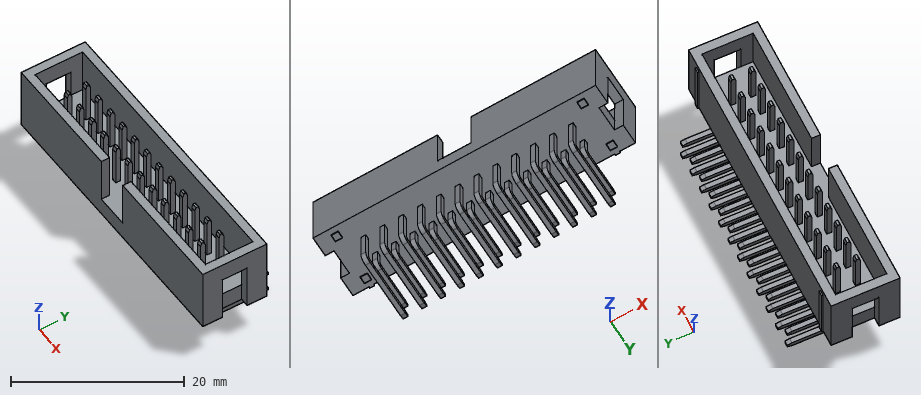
import cadquery as cq

LENGTH = 38.1
DEPTH = 8.8
HEIGHT = 8.75
LONG_WALL = 1.15
END_WALL = 1.2
CAVITY_DEPTH = 6.32
FLOOR_Z = HEIGHT - CAVITY_DEPTH
KEY_WIDTH = 4.5

END_SLOT_WIDTH = 3.4
END_SLOT_TOP_GAP = 2.48
END_SLOT_HEIGHT = HEIGHT - END_SLOT_TOP_GAP

PIN_COUNT = 12
PITCH = 2.54
PIN_SIZE = 0.65
PIN_TOP_GAP = 0.72
PIN_TOP_Z = HEIGHT - PIN_TOP_GAP
OVERALL_DEPTH = 12.1
OVERALL_HEIGHT = 14.0
TAIL_END_Y = OVERALL_DEPTH - DEPTH / 2
LOWEST_Z = HEIGHT - OVERALL_HEIGHT
BEND_OUTER_RADIUS = 1.0
BEND_INNER_RADIUS = BEND_OUTER_RADIUS - PIN_SIZE
TOP_TIP_LENGTH = 0.5
TAIL_TIP_LENGTH = 0.6
TIP_INSET = PIN_SIZE / 4

STANDOFF_X = LENGTH / 2 - 2.48
STANDOFF_Y = 3.2
STANDOFF_SIZE = 0.95
STANDOFF_HEIGHT = 0.2
RIB_WIDTH = 0.7
RIB_HEIGHT = 8.05
RIB_THICKNESS = 0.2


def block(size_x, size_y, size_z, center_x, center_y, bottom_z):
    """Box given by its size, its centre in X and Y and its bottom level."""
    box = cq.Workplane("XY").box(size_x, size_y, size_z, centered=(True, True, False))
    return box.translate((center_x, center_y, bottom_z))


def make_housing():
    housing = block(LENGTH, DEPTH, HEIGHT, 0, 0, 0)
    cavity = block(LENGTH - 2 * END_WALL, DEPTH - 2 * LONG_WALL, CAVITY_DEPTH, 0, 0, FLOOR_Z)
    key_gap = block(KEY_WIDTH, LONG_WALL, CAVITY_DEPTH, 0, (LONG_WALL - DEPTH) / 2, FLOOR_Z)
    housing = housing.cut(cavity).cut(key_gap)
    for side in (-1, 1):
        slot_x = side * (LENGTH - END_WALL) / 2
        housing = housing.cut(block(END_WALL, END_SLOT_WIDTH, END_SLOT_HEIGHT, slot_x, 0, 0))
    return housing


def make_pin(x, y, bottom_z):
    """Right-angle pin whose upright leg stands at (x, y)."""
    front = y - PIN_SIZE / 2
    back = y + PIN_SIZE / 2
    top_z = bottom_z + PIN_SIZE
    outline = (
        cq.Workplane("YZ")
        .moveTo(front + TIP_INSET, PIN_TOP_Z)
        .lineTo(front, PIN_TOP_Z - TOP_TIP_LENGTH)
        .lineTo(front, bottom_z + BEND_OUTER_RADIUS)
        .radiusArc((front + BEND_OUTER_RADIUS, bottom_z), -BEND_OUTER_RADIUS)
        .lineTo(TAIL_END_Y - TAIL_TIP_LENGTH, bottom_z)
        .lineTo(TAIL_END_Y, bottom_z + TIP_INSET)
        .lineTo(TAIL_END_Y, top_z - TIP_INSET)
        .lineTo(TAIL_END_Y - TAIL_TIP_LENGTH, top_z)
        .lineTo(back + BEND_INNER_RADIUS, top_z)
        .radiusArc((back, top_z + BEND_INNER_RADIUS), BEND_INNER_RADIUS)
        .lineTo(back, PIN_TOP_Z - TOP_TIP_LENGTH)
        .lineTo(back - TIP_INSET, PIN_TOP_Z)
        .close()
    )
    return outline.extrude(PIN_SIZE / 2, both=True).translate((x, 0, 0))


def make_standoffs():
    points = [(sx * STANDOFF_X, sy * STANDOFF_Y) for sx in (-1, 1) for sy in (-1, 1)]
    pads = cq.Workplane("XY").pushPoints(points).rect(STANDOFF_SIZE, STANDOFF_SIZE)
    return pads.extrude(-STANDOFF_HEIGHT)


def make_rib(side):
    """Thin upright rib on the back wall, in line with the standoffs on that side."""
    rib_y = (DEPTH + RIB_THICKNESS) / 2
    return block(RIB_WIDTH, RIB_THICKNESS, RIB_HEIGHT, side * STANDOFF_X, rib_y, 0)


result = make_housing().union(make_standoffs())
for side in (-1, 1):
    result = result.union(make_rib(side))

for column in range(PIN_COUNT):
    pin_x = (column - (PIN_COUNT - 1) / 2) * PITCH
    result = result.union(make_pin(pin_x, -PITCH / 2, LOWEST_Z))
    result = result.union(make_pin(pin_x, PITCH / 2, LOWEST_Z + PITCH))